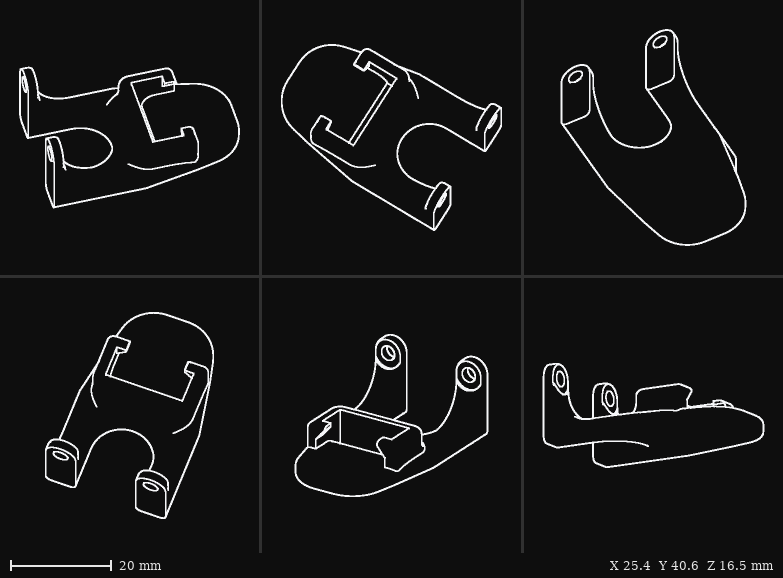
import cadquery as cq

length = 40.65
width = 25.4
edge_radius = 1.25

plate_thickness = 3.78
straight_side_length = 19.05
kink_y = 30.5
kink_half_width = 10.65
tail_half_width = 8.3
tail_corner_radius = 7.65

leg_width = 6.35
slot_center_y = 8.9
slot_radius = width / 2 - leg_width

total_height = 16.5
ear_thickness = 2.5
ear_rise_radius = 7.65
ear_radius = leg_width / 2
ear_center_x = width / 2 - ear_radius
ear_center_z = total_height - ear_radius
hole_diameter = 3.05
spotface_y = 2.05

housing_top_z = 8.9
housing_base_z = plate_thickness / 2
housing_half_width = kink_half_width
housing_front_y = straight_side_length
housing_rear_y = kink_y
housing_corner_radius = 2.5
foot_radius = 2.5
foot_front_y = housing_front_y - foot_radius

wall_thickness = 2.5
cavity_half_width = housing_half_width - wall_thickness
cavity_front_y = housing_front_y + wall_thickness
lug_half_gap = 6.18
lug_front_y = housing_rear_y - wall_thickness
lug_tip_thickness = 0.75
lug_root_thickness = 3.05

trough_depth = 2.5
trough_rear_y = 26.3
trough_front_radius = 0.98

SIDES = (-1, 1)


def extrude_across(profile, half_width):
    """Extrude a YZ profile symmetrically about the X = 0 plane."""
    return profile.extrude(half_width, both=True)


def plan_prism():
    """Prism as tall as the part with the plan outline of the plate and its slot."""
    outline = (
        cq.Workplane("XY")
        .moveTo(-width / 2, 0)
        .lineTo(-width / 2, straight_side_length)
        .lineTo(-kink_half_width, kink_y)
        .lineTo(-tail_half_width, length)
        .lineTo(tail_half_width, length)
        .lineTo(kink_half_width, kink_y)
        .lineTo(width / 2, straight_side_length)
        .lineTo(width / 2, 0)
        .lineTo(slot_radius, 0)
        .lineTo(slot_radius, slot_center_y)
        .threePointArc((0, slot_center_y + slot_radius), (-slot_radius, slot_center_y))
        .lineTo(-slot_radius, 0)
        .close()
        .extrude(total_height)
    )
    return outline.edges("|Z").edges(">Y").fillet(tail_corner_radius)


def side_prism():
    """Side profile: flat plate sweeping up through an arc into the ears."""
    profile = (
        cq.Workplane("YZ")
        .moveTo(0, 0)
        .lineTo(length, 0)
        .lineTo(length, plate_thickness)
        .lineTo(ear_thickness + ear_rise_radius, plate_thickness)
        .radiusArc((ear_thickness, plate_thickness + ear_rise_radius), ear_rise_radius)
        .lineTo(ear_thickness, total_height)
        .lineTo(0, total_height)
        .close()
    )
    return extrude_across(profile, width / 2)


def ear_cylinders(diameter, start_y, depth):
    """A pair of cylinders along +Y, one on each ear axis, starting at start_y."""
    return (
        cq.Workplane("XZ", origin=(0, start_y, ear_center_z))
        .pushPoints([(side * ear_center_x, 0) for side in SIDES])
        .circle(diameter / 2)
        .extrude(-depth)
    )


def front_prism():
    """Front profile: full-width block topped by the two round ear ends."""
    block = cq.Workplane("XY").box(width, length, ear_center_z, centered=(True, False, False))
    return block.union(ear_cylinders(2 * ear_radius, 0, length))


def make_base():
    """Plate and legs with round-topped ears, softened on all but the front faces."""
    base = plan_prism().intersect(side_prism()).intersect(front_prism())
    base = base.faces("+Z").edges("not |X").fillet(edge_radius)
    base = base.faces("<Z").edges("not <Y").fillet(edge_radius)
    seats = ear_cylinders(2 * ear_radius, spotface_y, ear_rise_radius)
    holes = ear_cylinders(hole_diameter, 0, ear_thickness)
    return base.cut(seats).cut(holes)


def make_housing():
    """Solid block with rounded corners and a concave foot along its front."""
    foot_top_z = plate_thickness + foot_radius
    run_out_y = foot_front_y - housing_corner_radius
    profile = (
        cq.Workplane("YZ")
        .moveTo(housing_rear_y, 0)
        .lineTo(housing_rear_y, housing_top_z)
        .lineTo(housing_front_y, housing_top_z)
        .lineTo(housing_front_y, foot_top_z)
        .radiusArc((foot_front_y, plate_thickness), foot_radius)
        .lineTo(run_out_y, plate_thickness)
        .lineTo(run_out_y, 0)
        .close()
    )
    block = extrude_across(profile, housing_half_width)
    front_edges = cq.selectors.BoxSelector(
        (-width, foot_front_y, foot_top_z),
        (width, cavity_front_y, housing_top_z),
    )
    block = block.edges("|Z").edges(front_edges).fillet(housing_corner_radius)
    block = block.edges("|Z").edges(">Y").fillet(edge_radius)
    block = block.faces(">Z").edges().fillet(edge_radius)
    keep = cq.Workplane("XY", origin=(0, foot_front_y, housing_base_z))
    keep = keep.box(width, length, housing_top_z, centered=(True, False, False))
    return block.intersect(keep)


def cavity_cutter():
    """Open-topped cavity that narrows at the rear between two tapered lugs."""
    height = housing_top_z - plate_thickness
    depth = lug_front_y - cavity_front_y
    cavity = cq.Workplane("XY", origin=(0, cavity_front_y, plate_thickness))
    cavity = cavity.box(2 * cavity_half_width, depth, height, centered=(True, False, False))
    root_z = housing_top_z - lug_root_thickness
    tip_z = housing_top_z - lug_tip_thickness
    mouth = (
        cq.Workplane("XZ", origin=(0, lug_front_y, 0))
        .moveTo(-cavity_half_width, plate_thickness)
        .lineTo(-cavity_half_width, root_z)
        .lineTo(-lug_half_gap, tip_z)
        .lineTo(-lug_half_gap, housing_top_z)
        .lineTo(lug_half_gap, housing_top_z)
        .lineTo(lug_half_gap, tip_z)
        .lineTo(cavity_half_width, root_z)
        .lineTo(cavity_half_width, plate_thickness)
        .close()
        .extrude(-wall_thickness)
    )
    return cavity.union(mouth)


def trough_cutter():
    """Trough across the cavity floor, rolling down at the rear to a flat bottom."""
    floor_z = plate_thickness - trough_depth
    profile = (
        cq.Workplane("YZ")
        .moveTo(cavity_front_y, plate_thickness)
        .lineTo(cavity_front_y, floor_z + trough_front_radius)
        .radiusArc((cavity_front_y + trough_front_radius, floor_z), -trough_front_radius)
        .lineTo(trough_rear_y - trough_depth, floor_z)
        .radiusArc((trough_rear_y, plate_thickness), trough_depth)
        .close()
    )
    return extrude_across(profile, cavity_half_width)


result = make_base().union(make_housing()).cut(cavity_cutter()).cut(trough_cutter())